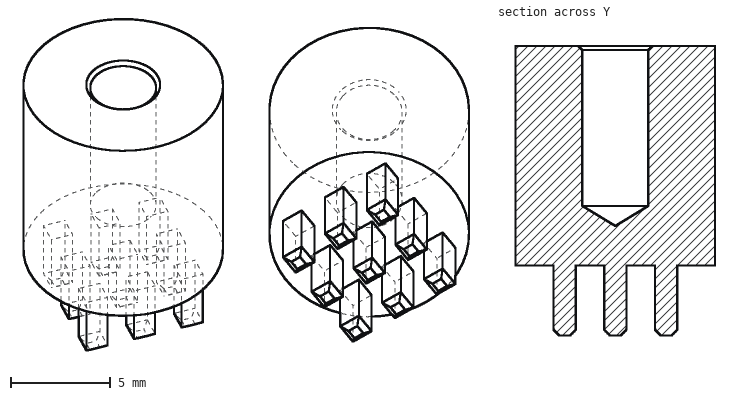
import cadquery as cq

body_diameter = 10.0
body_height = 11.0

hole_diameter = 3.3
hole_mouth_diameter = 3.7
hole_depth = 8.0
drill_tip_height = 1.0
mouth_chamfer = (hole_mouth_diameter - hole_diameter) / 2

pin_width = 1.13
pin_length = 3.5
pin_pitch = 2.54
pins_per_side = 3
pin_tip_chamfer = 0.3


def make_body():
    return cq.Workplane("XY").circle(body_diameter / 2).extrude(body_height)


def make_hole():
    """Revolved cutter: chamfered mouth, straight bore and conical drill tip."""
    hole_radius = hole_diameter / 2
    bore_end = body_height - hole_depth
    return (
        cq.Workplane("XZ")
        .moveTo(0, body_height)
        .lineTo(hole_mouth_diameter / 2, body_height)
        .lineTo(hole_radius, body_height - mouth_chamfer)
        .lineTo(hole_radius, bore_end)
        .lineTo(0, bore_end - drill_tip_height)
        .close()
        .revolve(360, (0, 0, 0), (0, 1, 0))
    )


def make_pins():
    """Square grid of pins with chamfered lower ends."""
    return (
        cq.Workplane("XY")
        .rarray(pin_pitch, pin_pitch, pins_per_side, pins_per_side)
        .rect(pin_width, pin_width)
        .extrude(-pin_length)
        .faces("<Z")
        .edges()
        .chamfer(pin_tip_chamfer)
    )


result = make_body().cut(make_hole()).union(make_pins())